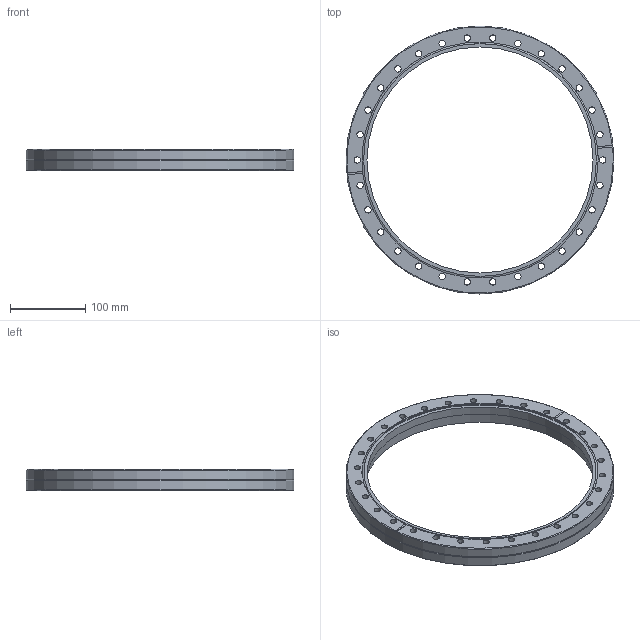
import cadquery as cq
import math

OUTER_DIAMETER = 355.6
BORE_DIAMETER = 300.0
THICKNESS = 28.5
RIM_CHAMFER = 1.0

SOCKET_DIAMETER = 306.5
SOCKET_DEPTH = 15.7

RECESS_DIAMETER = 313.5
RECESS_DEPTH = 1.25
KNIFE_DIAMETER = 309.0
KNIFE_SLOPE = 20.0

BOLT_COUNT = 30
BOLT_CIRCLE_DIAMETER = 325.4
BOLT_HOLE_DIAMETER = 8.4

GROOVE_WIDTH = 2.3
GROOVE_DEPTH = 0.6

RIM_GROOVE_WIDTH = 1.6
RIM_GROOVE_DEPTH = 0.45

BOLT_PITCH = 360.0 / BOLT_COUNT
GROOVE_ANGLES = (BOLT_PITCH / 2, BOLT_PITCH / 2 + 180.0)

OUTER_RADIUS = OUTER_DIAMETER / 2
BORE_RADIUS = BORE_DIAMETER / 2
SOCKET_RADIUS = SOCKET_DIAMETER / 2
RECESS_RADIUS = RECESS_DIAMETER / 2
KNIFE_RADIUS = KNIFE_DIAMETER / 2
FACE_Z = THICKNESS / 2
BACK_Z = -FACE_Z
SOCKET_FLOOR_Z = BACK_Z + SOCKET_DEPTH
LAND_Z = FACE_Z - RECESS_DEPTH
KNIFE_TIP_Z = LAND_Z + (RECESS_RADIUS - KNIFE_RADIUS) * math.tan(math.radians(KNIFE_SLOPE))
GROOVE_RADIUS = (GROOVE_WIDTH**2 / 4 + GROOVE_DEPTH**2) / (2 * GROOVE_DEPTH)


def flange_ring():
    """Ring with stepped bore, chamfered and grooved rim, gasket recess, knife edge and inner land."""
    profile = (
        cq.Workplane("XZ")
        .moveTo(BORE_RADIUS, SOCKET_FLOOR_Z)
        .lineTo(SOCKET_RADIUS, SOCKET_FLOOR_Z)
        .lineTo(SOCKET_RADIUS, BACK_Z)
        .lineTo(OUTER_RADIUS - RIM_CHAMFER, BACK_Z)
        .lineTo(OUTER_RADIUS, BACK_Z + RIM_CHAMFER)
        .lineTo(OUTER_RADIUS, -RIM_GROOVE_WIDTH / 2)
        .lineTo(OUTER_RADIUS - RIM_GROOVE_DEPTH, 0)
        .lineTo(OUTER_RADIUS, RIM_GROOVE_WIDTH / 2)
        .lineTo(OUTER_RADIUS, FACE_Z - RIM_CHAMFER)
        .lineTo(OUTER_RADIUS - RIM_CHAMFER, FACE_Z)
        .lineTo(RECESS_RADIUS, FACE_Z)
        .lineTo(RECESS_RADIUS, LAND_Z)
        .lineTo(KNIFE_RADIUS, KNIFE_TIP_Z)
        .lineTo(KNIFE_RADIUS, LAND_Z)
        .lineTo(BORE_RADIUS, LAND_Z)
        .close()
    )
    return profile.revolve(360, (0, 0, 0), (0, 1, 0))


def bolt_holes():
    """Cylinders for the bolt holes, through the whole thickness."""
    return (
        cq.Workplane("XY")
        .workplane(offset=BACK_Z)
        .polarArray(BOLT_CIRCLE_DIAMETER / 2, 0, 360, BOLT_COUNT)
        .circle(BOLT_HOLE_DIAMETER / 2)
        .extrude(THICKNESS)
    )


def leak_check_groove(angle):
    """Radial round-bottomed cutter in the knife-edge face, from the recess wall out through the rim."""
    rod = (
        cq.Workplane("YZ")
        .workplane(offset=RECESS_RADIUS)
        .center(0, FACE_Z - GROOVE_DEPTH + GROOVE_RADIUS)
        .circle(GROOVE_RADIUS)
        .extrude(OUTER_RADIUS - RECESS_RADIUS)
    )
    return rod.rotate((0, 0, 0), (0, 0, 1), angle)


result = flange_ring().cut(bolt_holes())
for groove_angle in GROOVE_ANGLES:
    result = result.cut(leak_check_groove(groove_angle))